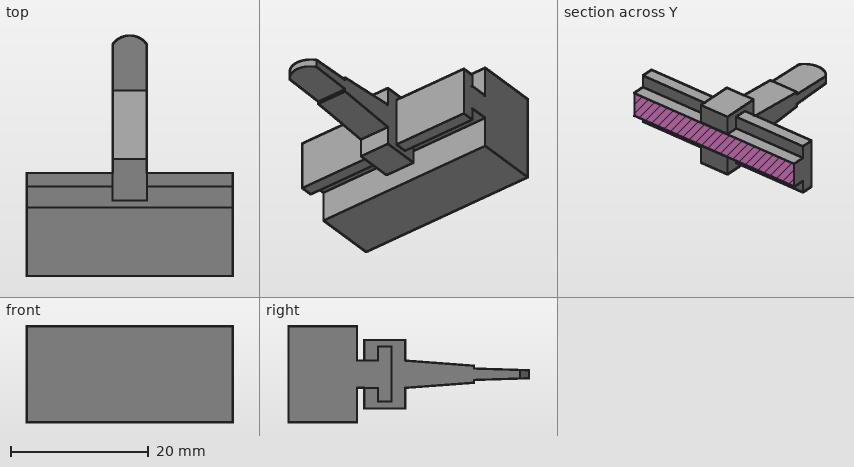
import cadquery as cq

BODY_LENGTH = 30.0
BODY_DEPTH = 10.0
BODY_HEIGHT = 14.0

NECK_DEPTH = 3.0
NECK_HEIGHT = 4.0
FLANGE_DEPTH = 2.0
FLANGE_HEIGHT = 8.0

CLIP_WIDTH = 5.0
CLIP_DEPTH = 6.0
CLIP_HEIGHT = 10.0
CLIP_GAP = 1.0

ARM_LENGTH = 10.0
ARM_ROOT_HEIGHT = 4.0
ARM_END_HEIGHT = 2.5

TONGUE_LENGTH = 8.0
TONGUE_ROOT_HEIGHT = 1.7
TONGUE_END_HEIGHT = 1.2
TIP_RISE = 1.3

NECK_END = BODY_DEPTH + NECK_DEPTH
CLIP_START = BODY_DEPTH + CLIP_GAP
CLIP_END = CLIP_START + CLIP_DEPTH
ARM_END = CLIP_END + ARM_LENGTH
TONGUE_END = ARM_END + TONGUE_LENGTH


def centred_box(width, start, depth, height):
    """Box centred on X and Z that begins at Y = start."""
    return cq.Workplane("XY").box(width, depth, height, centered=(True, False, True)).translate((0, start, 0))


def tapered_bar(start, end, start_height, end_height):
    """Bar of clip width whose height changes evenly from start to end along Y."""
    return (
        cq.Workplane("YZ")
        .polyline(
            [
                (start, -start_height / 2),
                (end, -end_height / 2),
                (end, end_height / 2),
                (start, start_height / 2),
            ]
        )
        .close()
        .extrude(CLIP_WIDTH / 2, both=True)
    )


def rounded_tip_outline():
    """Plan outline of the tongue, extruded tall enough to trim its tip."""
    half_width = CLIP_WIDTH / 2
    shoulder = TONGUE_END - TIP_RISE
    return (
        cq.Workplane("XY")
        .moveTo(-half_width, ARM_END)
        .lineTo(half_width, ARM_END)
        .lineTo(half_width, shoulder)
        .threePointArc((0, TONGUE_END), (-half_width, shoulder))
        .close()
        .extrude(TONGUE_ROOT_HEIGHT, both=True)
    )


body = centred_box(BODY_LENGTH, 0, BODY_DEPTH, BODY_HEIGHT)
neck = centred_box(BODY_LENGTH, BODY_DEPTH, NECK_DEPTH, NECK_HEIGHT)
flange = centred_box(BODY_LENGTH, NECK_END, FLANGE_DEPTH, FLANGE_HEIGHT)

clip = centred_box(CLIP_WIDTH, CLIP_START, CLIP_DEPTH, CLIP_HEIGHT)
arm = tapered_bar(CLIP_END, ARM_END, ARM_ROOT_HEIGHT, ARM_END_HEIGHT)
tongue = tapered_bar(ARM_END, TONGUE_END, TONGUE_ROOT_HEIGHT, TONGUE_END_HEIGHT).intersect(rounded_tip_outline())

result = body.union(neck).union(flange).union(clip).union(arm).union(tongue)